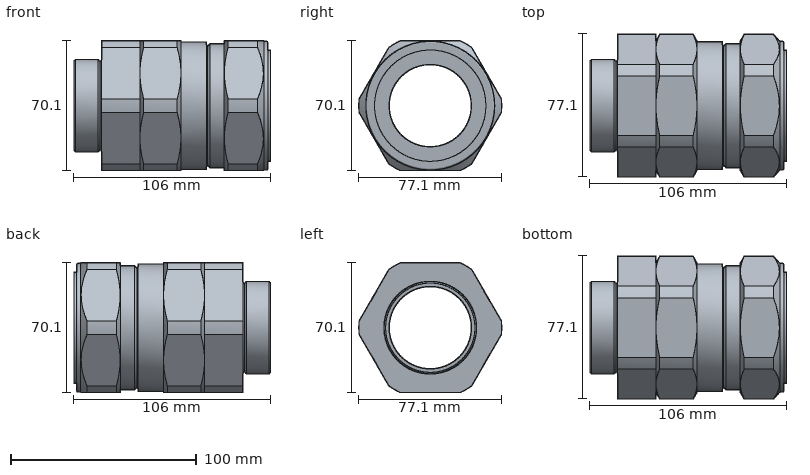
import cadquery as cq
import math


ACROSS_FLATS = 70.1
ACROSS_CORNERS = 77.1
corner_radius = ACROSS_CORNERS / 2
HEX_SIDES = 6
CHAMFER_LENGTH = 2.1
CHAMFER_ANGLE = 30
chamfer_drop = CHAMFER_LENGTH / math.tan(math.radians(CHAMFER_ANGLE))
chamfer_foot_radius = corner_radius - chamfer_drop

SPIGOT_END = 13.1
FIRST_GROOVE_BOTTOM = 14.2
ENTRY_HEX_START = 14.9
BODY_HEX_START = 35.5
BODY_HEX_END = 57.8
SLEEVE_END = 71.3
SECOND_GROOVE_BOTTOM = 72.0
COLLAR_START = 73.4
NUT_START = 81.0
NUT_HEX_END = 102.5
NUT_RIM_END = 104.5
TOTAL_LENGTH = 106.0

ENTRY_BORE_RADIUS = 22.3
BORE_RADIUS = 22.0
SPIGOT_RADIUS = 25.0
SPIGOT_CHAMFER = 1.0
FIRST_GROOVE_RADIUS = 23.7
FIRST_GROOVE_WALL_RADIUS = 24.8
SLEEVE_RADIUS = 34.5
SLEEVE_WALL_FOOT_RADIUS = 33.1
SECOND_GROOVE_RADIUS = 32.1
COLLAR_RADIUS = 33.5
NUT_RIM_RADIUS = 34.8
NUT_RIM_FILLET = 1.0
SEAL_RADIUS = 30.0

NUT_CONE_START = 98.9
NUT_CONE_END_RADIUS = 34.6


def revolve_profile(outer_points):
    """Solid of revolution about X under a line of (x, radius) points."""
    first_x = outer_points[0][0]
    last_x = outer_points[-1][0]
    closed_points = [(first_x, 0), *outer_points, (last_x, 0)]
    profile = cq.Workplane("XY").polyline(closed_points).close()
    return profile.revolve(360, (0, 0, 0), (1, 0, 0))


def hexagon(outer_points):
    """Hexagonal prism with corners along Y, trimmed to a revolved envelope."""
    start = outer_points[0][0]
    length = outer_points[-1][0] - start
    prism = (
        cq.Workplane("YZ", origin=(start, 0, 0))
        .polygon(HEX_SIDES, ACROSS_FLATS, circumscribed=True)
        .extrude(length)
        .rotate((0, 0, 0), (1, 0, 0), 180 / HEX_SIDES)
    )
    return prism.intersect(revolve_profile(outer_points))


def cylinder(start, end, radius):
    return cq.Workplane("YZ", origin=(start, 0, 0)).circle(radius).extrude(end - start)


spigot = revolve_profile([
    (0, SPIGOT_RADIUS - SPIGOT_CHAMFER),
    (SPIGOT_CHAMFER, SPIGOT_RADIUS),
    (SPIGOT_END, SPIGOT_RADIUS),
    (FIRST_GROOVE_BOTTOM, FIRST_GROOVE_RADIUS),
    (ENTRY_HEX_START, FIRST_GROOVE_WALL_RADIUS),
])

entry_hex = hexagon([
    (ENTRY_HEX_START, corner_radius),
    (BODY_HEX_START, corner_radius),
])

body_hex = hexagon([
    (BODY_HEX_START, chamfer_foot_radius),
    (BODY_HEX_START + CHAMFER_LENGTH, corner_radius),
    (BODY_HEX_END - CHAMFER_LENGTH, corner_radius),
    (BODY_HEX_END, chamfer_foot_radius),
])

sleeve = revolve_profile([
    (BODY_HEX_END, SLEEVE_RADIUS),
    (SLEEVE_END, SLEEVE_RADIUS),
    (SLEEVE_END, SLEEVE_WALL_FOOT_RADIUS),
    (SECOND_GROOVE_BOTTOM, SECOND_GROOVE_RADIUS),
    (COLLAR_START, COLLAR_RADIUS),
    (NUT_START, COLLAR_RADIUS),
])

nut_hex = hexagon([
    (NUT_START, chamfer_foot_radius),
    (NUT_START + CHAMFER_LENGTH, corner_radius),
    (NUT_CONE_START, corner_radius),
    (NUT_HEX_END, NUT_CONE_END_RADIUS),
])
nut_rim = cylinder(NUT_HEX_END, NUT_RIM_END, NUT_RIM_RADIUS)
nut_rim = nut_rim.faces(">X").edges().fillet(NUT_RIM_FILLET)

seal = cylinder(NUT_RIM_END, TOTAL_LENGTH, SEAL_RADIUS)

result = spigot
for body in (entry_hex, body_hex, sleeve, nut_hex, nut_rim, seal):
    result = result.union(body)
result = result.cut(cylinder(0, TOTAL_LENGTH, BORE_RADIUS))
result = result.cut(cylinder(0, BODY_HEX_START, ENTRY_BORE_RADIUS))